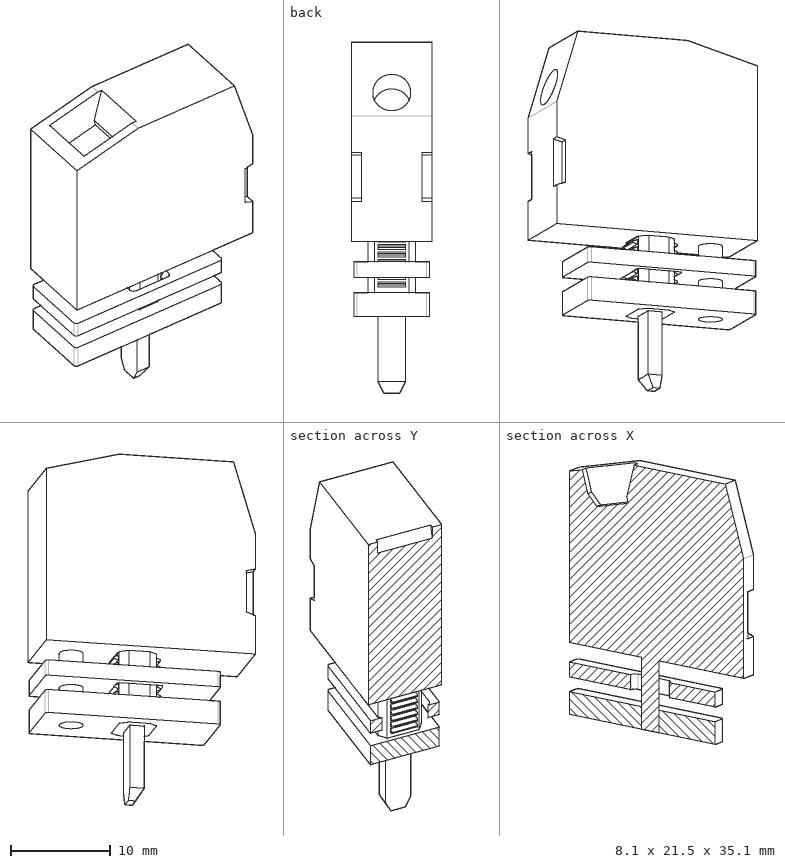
import cadquery as cq
import math


HOUSING_WIDTH = 8.1
HOUSING_LENGTH = 21.5
HOUSING_HEIGHT = 19.94
OVERALL_HEIGHT = 35.14
FRONT_SLOPE_RUN = 7.5
FRONT_SLOPE_DROP = 2.0
REAR_SLOPE_RUN = 2.25
REAR_SLOPE_DROP = 7.4

POCKET_WIDTH = 6.0
POCKET_FRONT_Y = 1.6
POCKET_FRONT_WALL_FOOT = (2.28, 3.96)
POCKET_FLOOR_FRONT_Y = 3.4
POCKET_FLOOR_REAR = (7.19, 4.1)
POCKET_REAR_WALL_FOOT = (7.04, 3.45)
POCKET_REAR_Y = 7.95

WIRE_HOLE_DIAMETER = 3.8
WIRE_HOLE_DEPTH = 5.0
WIRE_HOLE_INSET = 0.72

NOTCH_DEPTH = 0.95
NOTCH_WIDTH = 1.0
NOTCH_BOTTOM = 4.0
NOTCH_TOP = 8.9
NOTCH_TOP_TAPER = 0.25
NOTCH_BOTTOM_TAPER = 0.35

PLATE_WIDTH = 7.6
PLATE_LENGTH = 18.0
PLATE_CORNER_RADIUS = 0.3
UPPER_PLATE_TOP = -2.0
UPPER_PLATE_THICKNESS = 1.6
LOWER_PLATE_TOP = -5.1
LOWER_PLATE_THICKNESS = 2.4
LOWER_PLATE_BOTTOM = LOWER_PLATE_TOP - LOWER_PLATE_THICKNESS

POST_Y = 9.95
POST_WIDTH = 4.8
POST_LENGTH = 3.85
POST_FRONT_FLAT = 3.5
POST_SIDE_FLAT = 2.15
PEG_Y = 3.5
PEG_DIAMETER = 2.4

PIN_WIDTH = 2.8
PIN_THICKNESS = 1.5
PIN_END = HOUSING_HEIGHT - OVERALL_HEIGHT
PIN_TAPER_HEIGHT = 1.2
PIN_SIDE_TAPER = 0.6
PIN_REAR_TAPER = 0.75

TOOTH_COUNT = 7
TOOTH_PITCH = 0.75
FIRST_TOOTH_Z = 0.22
TOOTH_WIDTH = PIN_WIDTH
TOOTH_REACH = 0.45
TOOTH_ROOT_HEIGHT = 0.5
TOOTH_TIP_HEIGHT = 0.15

WINDOW_WIDTH = 5.8
WINDOW_LENGTH = POST_LENGTH + 2 * TOOTH_REACH
WINDOW_CORNER_RADIUS = 0.5


def side_extrusion(points, width, centre_x=0.0):
    """Extrude an outline of (y, z) points to a width in X, centred on centre_x."""
    plane = cq.Workplane("YZ", origin=(centre_x, 0, 0))
    return plane.polyline(points).close().extrude(width / 2, both=True)


def block():
    outline = [
        (0, 0),
        (HOUSING_LENGTH, 0),
        (HOUSING_LENGTH, HOUSING_HEIGHT - REAR_SLOPE_DROP),
        (HOUSING_LENGTH - REAR_SLOPE_RUN, HOUSING_HEIGHT),
        (FRONT_SLOPE_RUN, HOUSING_HEIGHT),
        (0, HOUSING_HEIGHT - FRONT_SLOPE_DROP),
    ]
    return side_extrusion(outline, HOUSING_WIDTH)


def pocket():
    """Funnel whose floor runs parallel to the front slope."""
    slope = FRONT_SLOPE_DROP / FRONT_SLOPE_RUN
    mouth_depth = (FRONT_SLOPE_RUN - POCKET_FRONT_Y) * slope
    floor_rear_y, floor_rear_depth = POCKET_FLOOR_REAR
    floor_front_depth = floor_rear_depth + (floor_rear_y - POCKET_FLOOR_FRONT_Y) * slope
    profile = [
        (POCKET_FRONT_Y, 0),
        (POCKET_FRONT_Y, mouth_depth),
        POCKET_FRONT_WALL_FOOT,
        (POCKET_FLOOR_FRONT_Y, floor_front_depth),
        POCKET_FLOOR_REAR,
        POCKET_REAR_WALL_FOOT,
        (POCKET_REAR_Y, 0),
    ]
    points = [(y, HOUSING_HEIGHT - depth) for y, depth in profile]
    return side_extrusion(points, POCKET_WIDTH)


def wire_hole():
    mouth_z = HOUSING_HEIGHT - REAR_SLOPE_DROP + WIRE_HOLE_INSET * REAR_SLOPE_DROP / REAR_SLOPE_RUN
    slope_length = math.hypot(REAR_SLOPE_RUN, REAR_SLOPE_DROP)
    inward = cq.Vector(0, -REAR_SLOPE_DROP / slope_length, -REAR_SLOPE_RUN / slope_length)
    mouth = cq.Vector(0, HOUSING_LENGTH - WIRE_HOLE_INSET, mouth_z)
    return cq.Solid.makeCylinder(WIRE_HOLE_DIAMETER / 2, WIRE_HOLE_DEPTH, mouth, inward)


def edge_notch(side):
    """Notch in the rear face, opening to the side face at -X (side = -1) or +X (side = 1)."""
    floor_y = HOUSING_LENGTH - NOTCH_DEPTH
    outline = [
        (HOUSING_LENGTH, NOTCH_BOTTOM),
        (HOUSING_LENGTH, NOTCH_TOP),
        (floor_y, NOTCH_TOP - NOTCH_TOP_TAPER),
        (floor_y, NOTCH_BOTTOM + NOTCH_BOTTOM_TAPER),
    ]
    return side_extrusion(outline, NOTCH_WIDTH, side * (HOUSING_WIDTH - NOTCH_WIDTH) / 2)


def post():
    half_width = POST_WIDTH / 2
    half_length = POST_LENGTH / 2
    half_front = POST_FRONT_FLAT / 2
    half_side = POST_SIDE_FLAT / 2
    outline = [
        (-half_front, -half_length),
        (half_front, -half_length),
        (half_width, -half_side),
        (half_width, half_side),
        (half_front, half_length),
        (-half_front, half_length),
        (-half_width, half_side),
        (-half_width, -half_side),
    ]
    return cq.Workplane("XY", origin=(0, POST_Y, 0)).polyline(outline).close().extrude(LOWER_PLATE_BOTTOM)


def peg():
    return cq.Workplane("XY", origin=(0, PEG_Y, 0)).circle(PEG_DIAMETER / 2).extrude(LOWER_PLATE_BOTTOM)


def tooth_pair(z):
    """One bar through the post whose two ends stand out as matching teeth."""
    root_y = POST_LENGTH / 2
    tip_y = root_y + TOOTH_REACH
    half_root = TOOTH_ROOT_HEIGHT / 2
    half_tip = TOOTH_TIP_HEIGHT / 2
    offsets = [
        (-tip_y, -half_tip),
        (-root_y, -half_root),
        (root_y, -half_root),
        (tip_y, -half_tip),
        (tip_y, half_tip),
        (root_y, half_root),
        (-root_y, half_root),
        (-tip_y, half_tip),
    ]
    return side_extrusion([(POST_Y + y, z + height) for y, height in offsets], TOOTH_WIDTH)


def pin():
    """Flat pin from the underside of the housing, tapered on both sides and the rear at its end."""
    shoulder_z = PIN_END + PIN_TAPER_HEIGHT
    front_y = POST_Y - PIN_THICKNESS / 2
    rear_y = POST_Y + PIN_THICKNESS / 2
    half_width = PIN_WIDTH / 2
    tip_half_width = half_width - PIN_SIDE_TAPER
    front_outline = [
        (-half_width, 0),
        (half_width, 0),
        (half_width, shoulder_z),
        (tip_half_width, PIN_END),
        (-tip_half_width, PIN_END),
        (-half_width, shoulder_z),
    ]
    side_outline = [
        (front_y, 0),
        (rear_y, 0),
        (rear_y, shoulder_z),
        (rear_y - PIN_REAR_TAPER, PIN_END),
        (front_y, PIN_END),
    ]
    front_shape = cq.Workplane("XZ", origin=(0, rear_y, 0)).polyline(front_outline).close()
    return front_shape.extrude(PIN_THICKNESS).intersect(side_extrusion(side_outline, PIN_WIDTH))


def housing(pin_body):
    body = block().cut(pocket()).cut(cq.Workplane(wire_hole()))
    for side in (-1, 1):
        body = body.cut(edge_notch(side))
    body = body.union(post()).union(peg())
    for index in range(TOOTH_COUNT):
        body = body.union(tooth_pair(FIRST_TOOTH_Z - index * TOOTH_PITCH))
    return body.cut(pin_body)


def plate(top, thickness):
    """Plate pierced by the peg and the post, with its upper face at the height top."""
    blank = cq.Workplane("XY").box(PLATE_WIDTH, PLATE_LENGTH, thickness)
    blank = blank.edges("|Z").fillet(PLATE_CORNER_RADIUS)
    blank = blank.translate((0, PLATE_LENGTH / 2, top - thickness / 2))
    return blank.cut(post()).cut(peg())


def clearance_window():
    """Rounded opening that leaves room for the post and its teeth."""
    start = cq.Workplane("XY", origin=(0, POST_Y, UPPER_PLATE_TOP))
    window = start.rect(WINDOW_WIDTH, WINDOW_LENGTH).extrude(-UPPER_PLATE_THICKNESS)
    return window.edges("|Z").fillet(WINDOW_CORNER_RADIUS)


contact_pin = pin()
terminal_housing = housing(contact_pin)
upper_plate = plate(UPPER_PLATE_TOP, UPPER_PLATE_THICKNESS).cut(clearance_window())
lower_plate = plate(LOWER_PLATE_TOP, LOWER_PLATE_THICKNESS)

result = cq.Compound.makeCompound(
    [terminal_housing.val(), contact_pin.val(), upper_plate.val(), lower_plate.val()]
)